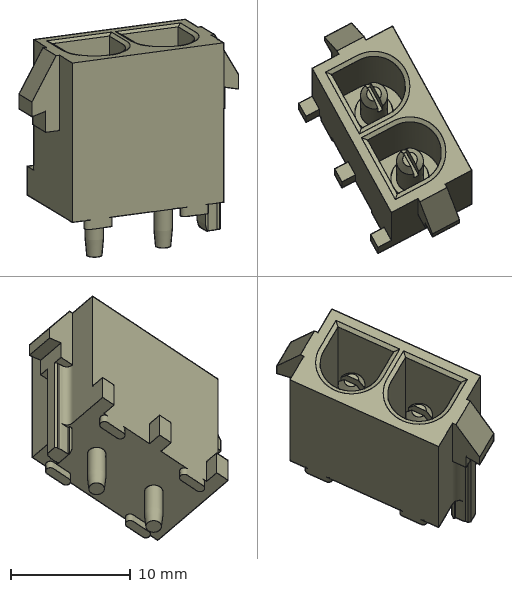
import cadquery as cq
import math


overall_length = 19.05
pitch = 6.35
body_width = 7.62
body_length = pitch + body_width
body_height = 13.89
body_left = -body_width / 2
body_end = body_length / 2
contact_ys = [-pitch / 2, pitch / 2]

tab_size = 1.28
tab_height = 2.51

latch_width = 2.57
latch_reach = (overall_length - body_length) / 2
latch_shelf = 0.32
latch_stem = 1.28
latch_slope_drop = 3.75
latch_barb_drop = 5.05
latch_undercut_drop = 4.72
latch_drop = 6.55

socket_radius = 2.61
socket_floor = tab_height
rim_width = 0.38
rim_depth = 0.2

collar_radius = 1.6
collar_height = 0.76
pin_radius = 1.12
pin_tip_radius = 0.61
pin_tip_height = 0.76
pin_top = 10.85
pin_slot_width = 0.45
pin_slot_depth = 2.29
tail_radius = 0.78
tail_tip_radius = 0.65
tail_length = 4.35
tail_straight = 2.84

foot_width = 0.78
foot_length = 2.53
foot_height = 0.82
foot_inset = tab_size

peg_length = 3.35
peg_outer_y = body_end + latch_stem
fillet_radius = 0.63
peg_half_width = latch_width / 2 - fillet_radius
peg_shoulder_y = body_end + fillet_radius
peg_round_radius = 0.57
peg_round_length = 0.25
peg_bevel_length = 0.2
peg_bevel_width = 0.15
lip_half_width = 0.84
lip_inner_y = 6.67
lip_thickness = 0.25
lip_corner = 0.1
lip_bevel_height = 0.65
lip_bevel_depth = 0.2


def box(x_min, x_max, y_min, y_max, z_min, z_max):
    """Axis-aligned box given by its limits."""
    size = (x_max - x_min, y_max - y_min, z_max - z_min)
    return cq.Workplane("XY").box(*size, centered=False).translate((x_min, y_min, z_min))


def housing():
    """Plain block with three tabs along the foot of the -X face."""
    block = box(body_left, -body_left, -body_end, body_end, 0, body_height)
    outermost = body_end - tab_size / 2
    for y in (-outermost, 0, outermost):
        tab = box(body_left - tab_size, body_left, y - tab_size / 2, y + tab_size / 2, 0, tab_height)
        block = block.union(tab)
    return block


def latch():
    """Barbed wedge on the +Y end."""
    tip = body_end + latch_reach
    stem = body_end + latch_stem
    profile = [
        (body_end, body_height),
        (body_end + latch_shelf, body_height),
        (tip, body_height - latch_slope_drop),
        (tip, body_height - latch_barb_drop),
        (stem, body_height - latch_undercut_drop),
        (stem, body_height - latch_drop),
        (body_end, body_height - latch_drop),
    ]
    return cq.Workplane("YZ").polyline(profile).close().extrude(latch_width / 2, both=True)


def d_outline(plane, y, radius):
    """Square on the -X side, half round on the +X side."""
    return (
        plane.moveTo(-radius, y - radius)
        .lineTo(0, y - radius)
        .threePointArc((radius, y), (0, y + radius))
        .lineTo(-radius, y + radius)
        .close()
    )


def socket(y):
    """Cavity with a bevelled rim."""
    floor = cq.Workplane("XY").workplane(offset=socket_floor)
    cavity = d_outline(floor, y, socket_radius).extrude(body_height - socket_floor)
    rim_angle = math.degrees(math.atan2(rim_width, rim_depth))
    mouth = cq.Workplane("XY").workplane(offset=body_height)
    rim = d_outline(mouth, y, socket_radius + rim_width).extrude(-rim_depth, taper=rim_angle)
    return cavity.union(rim)


def contact(y):
    """Turned pin from the tail tip up to the slotted tip inside the socket."""
    profile = [
        (0, -tail_length),
        (tail_tip_radius, -tail_length),
        (tail_radius, -tail_straight),
        (tail_radius, socket_floor),
        (collar_radius, socket_floor),
        (collar_radius, socket_floor + collar_height),
        (pin_radius, socket_floor + collar_height),
        (pin_radius, pin_top - pin_tip_height),
        (pin_tip_radius, pin_top),
        (0, pin_top),
    ]
    pin = cq.Workplane("XZ").polyline(profile).close().revolve(360, (0, 0, 0), (0, 1, 0))
    half_slot = pin_slot_width / 2
    slot = box(-half_slot, half_slot, -pin_radius, pin_radius, pin_top - pin_slot_depth, pin_top)
    return pin.cut(slot).translate((0, y, 0))


def feet():
    """Four round-ended standoffs, flush with the long sides."""
    x = (body_width - foot_width) / 2
    y = body_end - foot_inset - foot_length / 2
    centres = [(-x, -y), (-x, y), (x, -y), (x, y)]
    return cq.Workplane("XY").pushPoints(centres).slot2D(foot_length, foot_width, 90).extrude(-foot_height)


def peg_stem():
    """Upright of the peg, narrowing towards its outer +Y edge."""
    end_angle = math.asin(peg_round_length / peg_round_radius)
    round_y = peg_shoulder_y + peg_round_length
    land_x = peg_half_width - peg_round_radius * (1 - math.cos(end_angle))
    mid_x = peg_half_width - peg_round_radius * (1 - math.cos(end_angle / 2))
    mid_y = peg_shoulder_y + peg_round_radius * math.sin(end_angle / 2)
    outline = (
        cq.Workplane("XY")
        .moveTo(0, lip_inner_y)
        .lineTo(peg_half_width, lip_inner_y)
        .lineTo(peg_half_width, peg_shoulder_y)
        .threePointArc((mid_x, mid_y), (land_x, round_y))
        .lineTo(land_x, peg_outer_y - peg_bevel_length)
        .lineTo(land_x - peg_bevel_width, peg_outer_y)
        .lineTo(0, peg_outer_y)
        .close()
    )
    half = outline.extrude(peg_length + body_height - latch_drop).translate((0, 0, -peg_length))
    return half.union(half.mirror("YZ"))


def peg_web():
    """Concave fillets that blend the peg into the end face of the housing."""
    arc_mid = fillet_radius * (1 - math.sqrt(0.5))
    outline = (
        cq.Workplane("XY")
        .moveTo(0, body_end)
        .lineTo(peg_half_width + fillet_radius, body_end)
        .threePointArc((peg_half_width + arc_mid, body_end + arc_mid), (peg_half_width, peg_shoulder_y))
        .lineTo(0, peg_shoulder_y)
        .close()
    )
    half = outline.extrude(body_height - latch_drop)
    return half.union(half.mirror("YZ"))


def peg_lip():
    """Wider lip on the inner edge of the peg, below the housing."""
    lip = box(-lip_half_width, lip_half_width, lip_inner_y, lip_inner_y + lip_thickness, -peg_length, 0)
    return lip.edges("|Y and <Z").chamfer(lip_corner)


def board_peg():
    """Stem, web and lip, with the inner edge of the tip bevelled."""
    bevel_profile = [
        (lip_inner_y, -peg_length),
        (lip_inner_y + lip_bevel_depth, -peg_length),
        (lip_inner_y, -peg_length + lip_bevel_height),
    ]
    bevel = cq.Workplane("YZ").polyline(bevel_profile).close().extrude(lip_half_width, both=True)
    return peg_stem().union(peg_lip()).cut(bevel).union(peg_web())


result = housing().union(latch()).union(latch().mirror("XZ")).union(feet()).union(board_peg())
for contact_y in contact_ys:
    result = result.cut(socket(contact_y)).union(contact(contact_y))